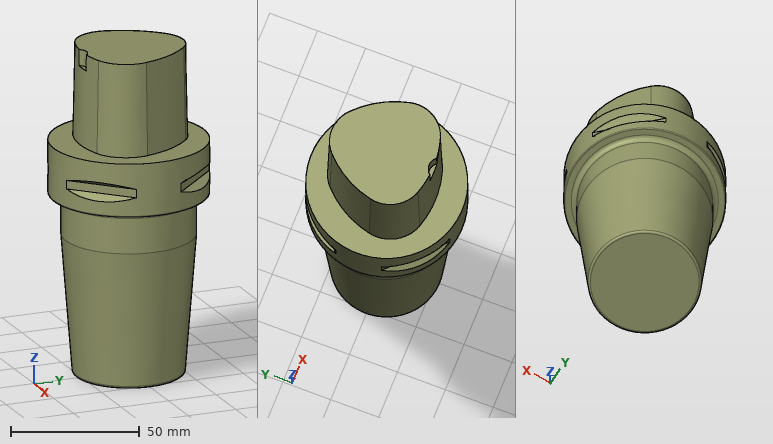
import cadquery as cq
import math

total_height = 133.0
flange_top = 95.1
flange_bottom = 73.3
neck_bottom = 56.7

flange_radius = 63.0 / 2
neck_radius = 53.0 / 2
nose_radius = 44.2 / 2
nose_fillet = 0.9
flange_edge_fillet = 0.4
neck_fillet = 2.1

lobe_reach = 23.7
lobe_radius = 14.6
side_reach = 20.3
shank_inset = 0.8
lobe_angles = (90, 210, 330)

notch_radius = 4.7
notch_floor_reach = 17.7
notch_height = 6.5

slot_count = 4
slot_center_height = 83.0
slot_floor_reach = 27.9
slot_floor_height = 3.5
slot_mouth_height = 7.7


def polar(radius, degrees):
    angle = math.radians(degrees)
    return (radius * math.cos(angle), radius * math.sin(angle))


def make_body():
    profile = (
        cq.Workplane("XZ")
        .moveTo(0, 0)
        .lineTo(nose_radius - nose_fillet, 0)
        .radiusArc((nose_radius, nose_fillet), -nose_fillet)
        .lineTo(neck_radius, neck_bottom)
        .lineTo(neck_radius, flange_bottom - neck_fillet)
        .radiusArc((neck_radius + neck_fillet, flange_bottom), neck_fillet)
        .lineTo(flange_radius - flange_edge_fillet, flange_bottom)
        .radiusArc((flange_radius, flange_bottom + flange_edge_fillet), -flange_edge_fillet)
        .lineTo(flange_radius, flange_top)
        .lineTo(0, flange_top)
        .close()
    )
    return profile.revolve(360, (0, 0), (0, 1))


def make_shank():
    lobe_offset = lobe_reach - lobe_radius
    reach_gap = side_reach - lobe_radius
    side_offset = (lobe_offset**2 - reach_gap**2) / (2 * reach_gap - lobe_offset)
    side_radius = side_offset + side_reach

    half_side = math.degrees(
        math.atan2(
            lobe_offset * math.sin(math.radians(60)),
            side_offset + lobe_offset * math.cos(math.radians(60)),
        )
    )

    def side_point(middle, swing):
        center_x, center_y = polar(side_offset, middle + 180)
        arm_x, arm_y = polar(side_radius, middle + swing)
        return (center_x + arm_x, center_y + arm_y)

    outline = cq.Workplane("XY", origin=(0, 0, flange_top)).moveTo(*side_point(30, half_side))
    for angle in lobe_angles:
        next_side = angle + 60
        outline = outline.threePointArc(polar(lobe_reach, angle), side_point(next_side, -half_side))
        outline = outline.threePointArc(polar(side_reach, next_side), side_point(next_side, half_side))

    shank_height = total_height - flange_top
    taper = math.degrees(math.atan2(shank_inset, shank_height))
    return outline.close().extrude(shank_height, taper=taper)


def make_notch():
    return (
        cq.Workplane("XY", origin=(0, 0, total_height - notch_height))
        .center(0, -(notch_floor_reach + notch_radius))
        .circle(notch_radius)
        .extrude(notch_height)
    )


def make_gripper_slot(angle):
    floor = slot_floor_height / 2
    mouth = slot_mouth_height / 2
    return (
        cq.Workplane("XZ")
        .polyline([
            (slot_floor_reach, slot_center_height - floor),
            (flange_radius, slot_center_height - mouth),
            (flange_radius, slot_center_height + mouth),
            (slot_floor_reach, slot_center_height + floor),
        ])
        .close()
        .extrude(flange_radius, both=True)
        .rotate((0, 0, 0), (0, 0, 1), angle)
    )


result = make_body().union(make_shank()).cut(make_notch())
for slot in range(slot_count):
    result = result.cut(make_gripper_slot((slot + 0.5) * 360 / slot_count))